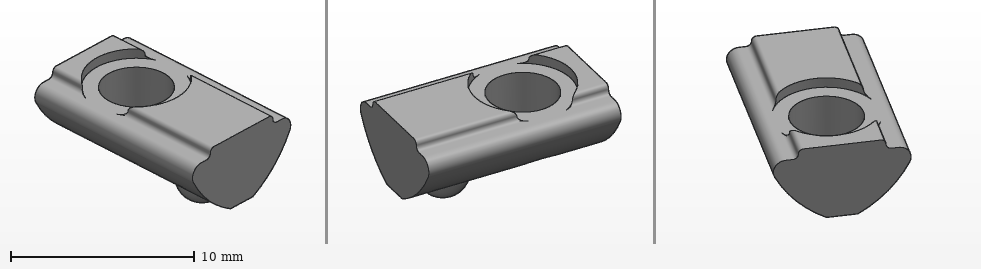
import cadquery as cq
import math

length = 12.0
half_width = 7.69 / 2
body_height = 4.57
bottom_half_width = 0.88

rail_height = 0.6
rail_half_width = 2.45
rail_radius = rail_height / 2

shoulder_radius = 0.7
shoulder_end_angle = math.radians(27)

hole_x = length / 3
hole_diameter = 4.14
seat_diameter = 6.0

ball_x = 9.0
ball_diameter = 3.05
overall_height = 5.6


def arc_point(center_y, center_z, radius, angle):
    """Point on a circle in the YZ plane, angle measured from +Y."""
    return (center_y + radius * math.cos(angle), center_z + radius * math.sin(angle))


def make_half_body():
    """The +Y half of the body; the YZ outline follows the rail, shoulder and flank."""
    shoulder_y = half_width - shoulder_radius
    shoulder_z = -rail_height - shoulder_radius
    shoulder_mid = arc_point(
        shoulder_y, shoulder_z, shoulder_radius, (math.pi / 2 - shoulder_end_angle) / 2
    )
    shoulder_end = arc_point(shoulder_y, shoulder_z, shoulder_radius, -shoulder_end_angle)
    return (
        cq.Workplane("YZ")
        .lineTo(rail_half_width - rail_radius, 0)
        .radiusArc((rail_half_width, -rail_radius), rail_radius)
        .radiusArc((rail_half_width + rail_radius, -rail_height), -rail_radius)
        .lineTo(shoulder_y, -rail_height)
        .threePointArc(shoulder_mid, shoulder_end)
        .tangentArcPoint((bottom_half_width, -body_height), relative=False)
        .lineTo(0, -body_height)
        .close()
        .extrude(length)
    )


def make_vertical_cut(diameter, depth):
    """Cylinder on the hole axis, reaching down from the top face."""
    return cq.Workplane("XY").center(hole_x, 0).circle(diameter / 2).extrude(-depth)


def make_ball():
    """Sphere whose lowest point sets the overall height."""
    ball_z = ball_diameter / 2 - overall_height
    return cq.Workplane("XY").sphere(ball_diameter / 2).translate((ball_x, 0, ball_z))


half_body = make_half_body()
body = half_body.union(half_body.mirror("XZ"))
seat = make_vertical_cut(seat_diameter, rail_height)
hole = make_vertical_cut(hole_diameter, body_height)

result = body.cut(seat).cut(hole).union(make_ball()).clean()